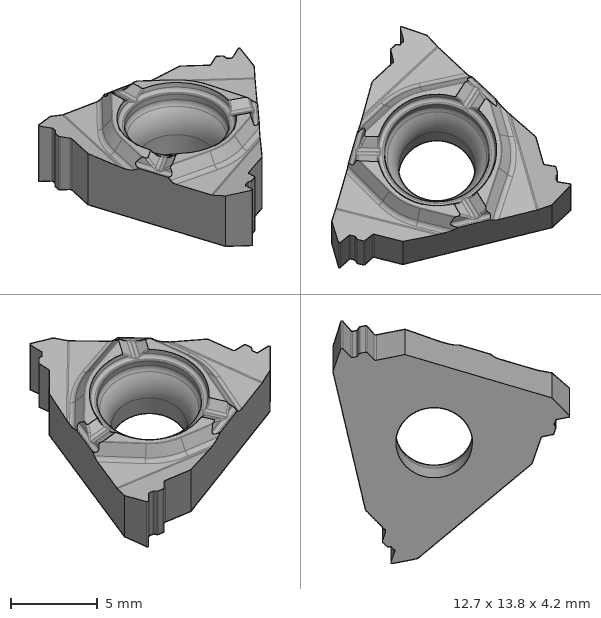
import cadquery as cq
import math

CORNERS = 3
STEP = 360 / CORNERS

total_height = 4.2
floor_z = 3.38

slab_reach = 9.69
select_gap = 0.01

flank_distance = 4.76
tip_reach = 6.92
tip_round = 0.07
thread_angle = 60
crest_y = -6.23
crest_end_x = -3.2
tooth_y = -6.4
tooth_start_x = -3.03
tooth_end_x = -2.6
shoulder_y = -5.77
profile_round = 0.08
shoulder_round = 0.14

rake_start = 4.72
rake_angle = 15
rake_crease_radius = 0.32

boss_base_radius = 4.37
boss_taper = 38.5
boss_arc_start = -2
boss_arc_end = 30
boss_root_fillet = 0.4
boss_rim_fillet = 0.05

hole_diameter = 4.4
hole_radius = hole_diameter / 2
seat_arc_radius = 2.15
seat_bottom_z = 1.38
seat_turn = 46
seat_blend_radius = 0.51
ledge_z = 3.72
ledge_edge_round = 0.04
ledge_fillet = 0.25
recess_top_radius = 3.45
recess_wall_lean = 13

groove_direction = 194.2
groove_bottom_z = 3.74
groove_flat = 0.04
groove_radius = 0.35
groove_wall_angle = 36
groove_mouth_round = 0.14
groove_inner_round = 0.1

notch_z = 3.7
notch_land = 0.1
notch_radius = 0.28
notch_wall_angle = 67
notch_length = 5.54


def sin(angle):
    return math.sin(math.radians(angle))


def cos(angle):
    return math.cos(math.radians(angle))


def tan(angle):
    return math.tan(math.radians(angle))


def polar(radius, angle):
    return (radius * cos(angle), radius * sin(angle))


def repeat(solid):
    """Union of the solid turned to all corners."""
    copies = solid
    for i in range(1, CORNERS):
        copies = copies.union(solid.rotate((0, 0, 0), (0, 0, 1), i * STEP))
    return copies


def turned(points, angle):
    """Points turned about the origin."""
    return [
        (x * cos(angle) - y * sin(angle), x * sin(angle) + y * cos(angle))
        for x, y in points
    ]


def level_box(radius, z):
    """Selector for edges lying flat at height z and wholly within a radius."""
    reach = radius + select_gap / 2
    return cq.selectors.BoxSelector(
        (-reach, -reach, z - select_gap),
        (reach, reach, z + select_gap),
        boundingbox=True,
    )


def round_corners(body, corners, radius):
    """Fillet the upright edges of a full-height prism at the given corners of each tip."""
    for i in range(CORNERS):
        for x, y in turned(corners, i * STEP):
            edge = cq.selectors.NearestToPointSelector((x, y, total_height / 2))
            body = body.edges(edge).fillet(radius)
    return body


def insert_prism():
    """Full-height prism of the outline, with rounded thread profiles."""
    slope = tan(thread_angle)
    tip_y = -tip_reach - tip_round
    tip_x = -(tip_reach + tip_y * sin(30)) / cos(30)
    tip = (tip_x, tip_y)
    side_end = (-flank_distance, tip_y + (tip_x + flank_distance) * slope)
    crest_in = (tip_x + (crest_y - tip_y) / slope, crest_y)
    crest_end = (crest_end_x, crest_y)
    tooth_start = (tooth_start_x, tooth_y)
    tooth_end = (tooth_end_x, tooth_y)
    shoulder_in = (tooth_end_x + (shoulder_y - tooth_y) / slope, shoulder_y)
    shoulder_out = ((flank_distance + shoulder_y * sin(60)) / cos(60), shoulder_y)
    corner = [
        side_end,
        tip,
        crest_in,
        crest_end,
        tooth_start,
        tooth_end,
        shoulder_in,
        shoulder_out,
    ]
    outline = []
    for i in range(CORNERS):
        outline += turned(corner, i * STEP)
    prism = cq.Workplane("XY").polyline(outline).close().extrude(total_height)

    prism = round_corners(prism, [tip], tip_round)
    profile = [crest_in, crest_end, tooth_start, tooth_end]
    prism = round_corners(prism, profile, profile_round)
    return round_corners(prism, [shoulder_in], shoulder_round)


def boss():
    """Tapered boss: three rounded stretches joined by tangent straight walls."""
    half_gap = (STEP - boss_arc_end + boss_arc_start) / 2
    outline = cq.Workplane("XY").workplane(offset=floor_z)
    outline = outline.moveTo(*polar(boss_base_radius, boss_arc_start))
    for i in range(CORNERS):
        start = boss_arc_start + i * STEP
        end = boss_arc_end + i * STEP
        outline = outline.threePointArc(
            polar(boss_base_radius, (start + end) / 2), polar(boss_base_radius, end)
        )
        outline = outline.lineTo(*polar(boss_base_radius / cos(half_gap), end + half_gap))
        if i < CORNERS - 1:
            outline = outline.lineTo(*polar(boss_base_radius, start + STEP))
    return outline.close().extrude(total_height - floor_z, taper=boss_taper)


def rake_wedge():
    """Wedge above the floor that rises towards the tip at -Y."""
    tangent = rake_crease_radius * tan(rake_angle / 2)
    bend_start = rake_start - tangent
    half = rake_angle / 2
    bend_mid = (
        bend_start + rake_crease_radius * sin(half),
        floor_z + rake_crease_radius * (1 - cos(half)),
    )
    bend_end = (rake_start + tangent * cos(rake_angle), floor_z + tangent * sin(rake_angle))
    top = floor_z + (slab_reach - rake_start) * tan(rake_angle)
    plane = cq.Plane(origin=(-slab_reach, 0, 0), xDir=(0, -1, 0), normal=(-1, 0, 0))
    profile = (
        cq.Workplane(plane)
        .moveTo(bend_start, floor_z)
        .threePointArc(bend_mid, bend_end)
        .lineTo(slab_reach, top)
        .lineTo(slab_reach, 0)
        .lineTo(bend_start, 0)
        .close()
    )
    return profile.extrude(-2 * slab_reach)


def boss_on_floor():
    """Floor slab with the filleted boss on it."""
    slab = cq.Workplane("XY").circle(slab_reach).extrude(floor_z)
    form = slab.union(boss())
    form = form.faces(">Z").edges().fillet(boss_rim_fillet)
    root = level_box(slab_reach - select_gap, floor_z)
    return form.edges(root).fillet(boss_root_fillet)


def hole_cutter():
    """Through hole with a curved screw seat and a ledged recess."""
    seat_mid = (
        hole_radius + seat_arc_radius * (1 - cos(seat_turn / 2)),
        seat_bottom_z + seat_arc_radius * sin(seat_turn / 2),
    )
    seat_end = (
        hole_radius + seat_arc_radius * (1 - cos(seat_turn)),
        seat_bottom_z + seat_arc_radius * sin(seat_turn),
    )
    wall_radius = seat_end[0] + seat_blend_radius * (1 - cos(seat_turn))
    wall_z = seat_end[1] + seat_blend_radius * sin(seat_turn)
    blend_mid = (
        wall_radius - seat_blend_radius * (1 - cos(seat_turn / 2)),
        wall_z - seat_blend_radius * sin(seat_turn / 2),
    )
    recess_base_radius = recess_top_radius - (total_height - ledge_z) * tan(recess_wall_lean)
    profile = (
        cq.Workplane("XZ")
        .lineTo(hole_radius, 0)
        .lineTo(hole_radius, seat_bottom_z)
        .threePointArc(seat_mid, seat_end)
        .threePointArc(blend_mid, (wall_radius, wall_z))
        .lineTo(wall_radius, ledge_z)
        .lineTo(recess_base_radius, ledge_z)
        .lineTo(recess_top_radius, total_height)
        .lineTo(0, total_height)
        .close()
    )
    cutter = profile.revolve(360, (0, 0, 0), (0, 1, 0))
    cutter = cutter.edges(level_box(wall_radius, ledge_z)).fillet(ledge_edge_round)
    return cutter.edges(level_box(recess_base_radius, ledge_z)).fillet(ledge_fillet)


def groove_cutter():
    """Radial groove with sloping walls and a rounded bottom, running from the axis outwards."""
    half_flat = groove_flat / 2
    rise = groove_radius * (1 - cos(groove_wall_angle))
    bend = half_flat + groove_radius * sin(groove_wall_angle)
    mid_bend = half_flat + groove_radius * sin(groove_wall_angle / 2)
    mid_z = groove_bottom_z + groove_radius * (1 - cos(groove_wall_angle / 2))
    bend_z = groove_bottom_z + rise
    top_half = bend + (total_height - bend_z) / tan(groove_wall_angle)
    profile = (
        cq.Workplane("YZ")
        .moveTo(-half_flat, groove_bottom_z)
        .lineTo(half_flat, groove_bottom_z)
        .threePointArc((mid_bend, mid_z), (bend, bend_z))
        .lineTo(top_half, total_height)
        .lineTo(-top_half, total_height)
        .lineTo(-bend, bend_z)
        .threePointArc((-mid_bend, mid_z), (-half_flat, groove_bottom_z))
        .close()
    )
    return profile.extrude(slab_reach).rotate((0, 0, 0), (0, 0, 1), groove_direction)


def notch_cutter():
    """Flat land and rounded wall that cut the boss back along the -X side."""
    bend_x = -flank_distance + notch_land
    mid = (
        bend_x + notch_radius * sin(notch_wall_angle / 2),
        notch_z + notch_radius * (1 - cos(notch_wall_angle / 2)),
    )
    wall_start = (
        bend_x + notch_radius * sin(notch_wall_angle),
        notch_z + notch_radius * (1 - cos(notch_wall_angle)),
    )
    wall_top_x = wall_start[0] + (total_height - wall_start[1]) / tan(notch_wall_angle)
    profile = (
        cq.Workplane("XZ")
        .moveTo(-slab_reach, notch_z)
        .lineTo(bend_x, notch_z)
        .threePointArc(mid, wall_start)
        .lineTo(wall_top_x, total_height)
        .lineTo(-slab_reach, total_height)
        .close()
    )
    return profile.extrude(notch_length / 2, both=True)


def recess_cutter():
    """Screw hole joined with the grooves, the groove walls rounded into the recess wall."""
    cutter = hole_cutter().union(repeat(groove_cutter()))
    return cutter.edges("%ELLIPSE").fillet(groove_inner_round)


def edge_relief_cutter():
    """Notch and groove of the -X side together, with their meeting walls blended."""
    groove = groove_cutter()
    notch = notch_cutter()
    foot_z = notch_z + notch_radius * (1 - cos(notch_wall_angle))
    half_length = notch_length / 2 - select_gap
    walls = cq.selectors.BoxSelector(
        (-flank_distance, -half_length, foot_z + select_gap),
        (-boss_base_radius + notch_radius, half_length, total_height - select_gap),
    )
    return notch.union(groove).edges(walls).fillet(groove_mouth_round)


form = boss_on_floor()
form = form.cut(recess_cutter()).cut(repeat(edge_relief_cutter()))
form = form.union(repeat(rake_wedge()))
result = insert_prism().intersect(form)